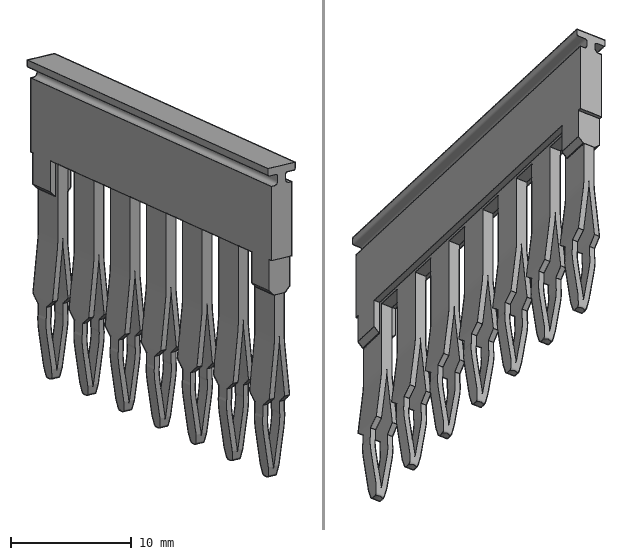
import cadquery as cq
import math

LENGTH = 34.0
HEIGHT = 27.6

CAP_WIDTH = 2.8
CAP_THICKNESS = 0.68
CAP_EDGE_RADIUS = 0.17
NECK_WIDTH = 0.8
NECK_TOP_RADIUS = 0.2
NECK_FOOT_RADIUS = 0.35
BAR_TOP = -1.63
BAR_WIDTH = 2.1
BAR_BOTTOM = -8.13
LEG_BOTTOM = -11.32
LEG_CHAMFER = 0.48

TINE_COUNT = 7
TINE_PITCH = 5.1
TINE_WIDTH = 2.8
COMB_THICKNESS = 1.02
STEP = 0.3
SPINE_TOP = -4.75
SPINE_BOTTOM = BAR_BOTTOM - STEP
OUTER_TINE_X = TINE_PITCH * (TINE_COUNT - 1) / 2
COMB_LENGTH = 2 * OUTER_TINE_X + TINE_WIDTH
LEG_INNER_X = COMB_LENGTH / 2 - TINE_WIDTH + STEP
LEG_OUTER_X = COMB_LENGTH / 2
SPINE_END_X = LEG_OUTER_X - STEP

LEAF_THICKNESS = COMB_THICKNESS / 2
SPREAD_ANGLE = math.radians(6.3)
CLOSE_ANGLE = math.radians(9.0)
SPLIT_Z = -15.05
SPREAD_BEND_LENGTH = 0.9
SHOULDER_BEND_Z = -20.55
BULGE_START_Z = -22.0
BULGE_STEP_ANGLE = math.radians(12)
BULGE_ARC_TOP_Z = -22.2
BULGE_ARC_BOTTOM_Z = -23.53

SHOULDER_TOP_Z = -20.35
SHOULDER_BOTTOM_Z = -21.08
TIP_WIDTH = 1.15
TIP_TAPER_Z = -26.65
TIP_END_WIDTH = 0.75
TIP_RADIUS = 0.27


def x_block(x_min, x_max, width, z_min, z_max):
    """Box centred on Y = 0 between two X and two Z values."""
    return (
        cq.Workplane("XY")
        .box(x_max - x_min, width, z_max - z_min, centered=(False, True, False))
        .translate((x_min, 0, z_min))
    )


def tine_positions():
    """X of the centre of every tine."""
    return [i * TINE_PITCH - OUTER_TINE_X for i in range(TINE_COUNT)]


def make_blade():
    """Flat upper part of the comb: the spine and the straight stretches of the tines."""
    blade = x_block(-SPINE_END_X, SPINE_END_X, COMB_THICKNESS, SPINE_BOTTOM, SPINE_TOP)
    for x in tine_positions():
        x_min = x - TINE_WIDTH / 2
        x_max = x + TINE_WIDTH / 2
        blade = blade.union(x_block(x_min, x_max, COMB_THICKNESS, SPLIT_Z, SPINE_BOTTOM))
    for x_min, x_max in ((-COMB_LENGTH / 2, -SPINE_END_X), (SPINE_END_X, COMB_LENGTH / 2)):
        blade = blade.cut(x_block(x_min, x_max, COMB_THICKNESS, LEG_BOTTOM, SPINE_BOTTOM))
    return blade


def make_rail():
    """Cap, neck and bar, extruded along X."""
    cap_bottom = -CAP_THICKNESS
    rail = x_block(-LENGTH / 2, LENGTH / 2, CAP_WIDTH, cap_bottom, 0)
    rail = rail.faces("<Z").edges("|X").fillet(CAP_EDGE_RADIUS)
    rail = rail.union(x_block(-LENGTH / 2, LENGTH / 2, NECK_WIDTH, BAR_TOP, cap_bottom))
    rail = rail.union(x_block(-LENGTH / 2, LENGTH / 2, BAR_WIDTH, BAR_BOTTOM, BAR_TOP))
    neck_corner = NECK_WIDTH / 2
    for z, radius in ((cap_bottom, NECK_TOP_RADIUS), (BAR_TOP, NECK_FOOT_RADIUS)):
        for y in (-neck_corner, neck_corner):
            rail = rail.edges(cq.selectors.NearestToPointSelector((0, y, z))).fillet(radius)
    return rail


def make_leg(side):
    """Leg hanging from one end of the bar, chamfered at the front and back of its foot."""
    x_min, x_max = sorted((side * LEG_INNER_X, side * LEG_OUTER_X))
    half = BAR_WIDTH / 2
    foot_half = half - LEG_CHAMFER
    chamfer_top = LEG_BOTTOM + LEG_CHAMFER
    right = [(half, BAR_BOTTOM), (half, chamfer_top), (foot_half, LEG_BOTTOM)]
    left = [(-y, z) for y, z in reversed(right)]
    section = cq.Workplane("YZ").polyline(right + left).close()
    return section.extrude(x_max - x_min).translate((x_min, 0, 0))


def make_housing(blade):
    """Housing with a slot that matches the blade of the comb."""
    housing = make_rail()
    for side in (-1, 1):
        housing = housing.union(make_leg(side))
    return housing.cut(blade)


def leaf_profile():
    """Side outline of the leaf on +Y, trimmed where it meets the other leaf at Y = 0."""
    t = LEAF_THICKNESS

    def inner(point, angle):
        """Point across the leaf from an outer point where the leaf leans by angle."""
        return (point[0] - t * math.cos(angle), point[1] - t * math.sin(angle))

    def below(point, angle, z):
        """Point at height z on the straight line that leans outward by angle going down."""
        return (point[0] + (point[1] - z) * math.tan(angle), z)

    def arc(start, start_angle, end_angle, drop):
        """Middle and end of a tangent arc that turns between two leans over a drop."""
        radius = drop / (math.sin(end_angle) - math.sin(start_angle))
        middle_angle = (start_angle + end_angle) / 2

        def at(angle):
            return (
                start[0] + radius * (math.cos(start_angle) - math.cos(angle)),
                start[1] - radius * (math.sin(angle) - math.sin(start_angle)),
            )

        return at(middle_angle), at(end_angle)

    half_spread = SPREAD_ANGLE / 2
    root = (t, SPLIT_Z)
    spread_mid, spread_end = arc(root, 0, SPREAD_ANGLE, SPREAD_BEND_LENGTH)
    shoulder = below(spread_end, SPREAD_ANGLE, SHOULDER_BEND_Z)
    shoulder_end = below(shoulder, half_spread, SHOULDER_BOTTOM_Z)
    bulge_start = below(shoulder_end, 0, BULGE_START_Z)
    bulge_top = below(bulge_start, BULGE_STEP_ANGLE, BULGE_ARC_TOP_Z)
    bulge_drop = BULGE_ARC_TOP_Z - BULGE_ARC_BOTTOM_Z
    bulge_mid, bulge_end = arc(bulge_top, 0, -CLOSE_ANGLE, bulge_drop)
    tip = below(bulge_end, -CLOSE_ANGLE, -HEIGHT)

    tip_center = (0, tip[1] + tip[0] * math.tan(CLOSE_ANGLE))
    closing_inner = inner(bulge_end, -CLOSE_ANGLE)
    meeting = (0, closing_inner[1] - closing_inner[0] / math.tan(CLOSE_ANGLE))

    return (
        cq.Workplane("YZ")
        .moveTo(*root)
        .threePointArc(spread_mid, spread_end)
        .lineTo(*shoulder)
        .lineTo(*shoulder_end)
        .lineTo(*bulge_start)
        .lineTo(*bulge_top)
        .threePointArc(bulge_mid, bulge_end)
        .lineTo(*tip)
        .lineTo(*tip_center)
        .lineTo(*meeting)
        .lineTo(*closing_inner)
        .threePointArc(inner(bulge_mid, -CLOSE_ANGLE / 2), inner(bulge_top, 0))
        .lineTo(*inner(bulge_start, 0))
        .lineTo(*inner(shoulder_end, 0))
        .lineTo(*inner(shoulder, half_spread))
        .lineTo(*inner(spread_end, SPREAD_ANGLE))
        .threePointArc(inner(spread_mid, half_spread), inner(root, 0))
        .close()
    )


def tine_outline():
    """Front outline of one tine below the split, extruded through both leaves."""
    half = TINE_WIDTH / 2
    tip_half = TIP_WIDTH / 2
    end_half = TIP_END_WIDTH / 2
    right = [
        (half, SPLIT_Z),
        (half, SHOULDER_TOP_Z),
        (tip_half, SHOULDER_BOTTOM_Z),
        (tip_half, TIP_TAPER_Z),
        (end_half, -HEIGHT),
    ]
    left = [(-x, z) for x, z in reversed(right)]
    outline = cq.Workplane("XZ").polyline(right + left).close().extrude(BAR_WIDTH, both=True)
    return outline.faces("<Z").edges("|Y").fillet(TIP_RADIUS)


def make_spring():
    """Pair of leaves of one tine, centred on X = 0."""
    leaf = leaf_profile().extrude(TINE_WIDTH / 2, both=True)
    return leaf.union(leaf.mirror("XZ")).intersect(tine_outline())


def make_comb(blade):
    """Blade with a pair of spring leaves below every tine, as one solid."""
    comb = blade
    spring = make_spring()
    for x in tine_positions():
        comb = comb.union(spring.translate((x, 0, 0)))
    return comb


blade = make_blade()
housing = make_housing(blade)
comb = make_comb(blade)

result = cq.Compound.makeCompound([housing.solids().val(), comb.solids().val()])